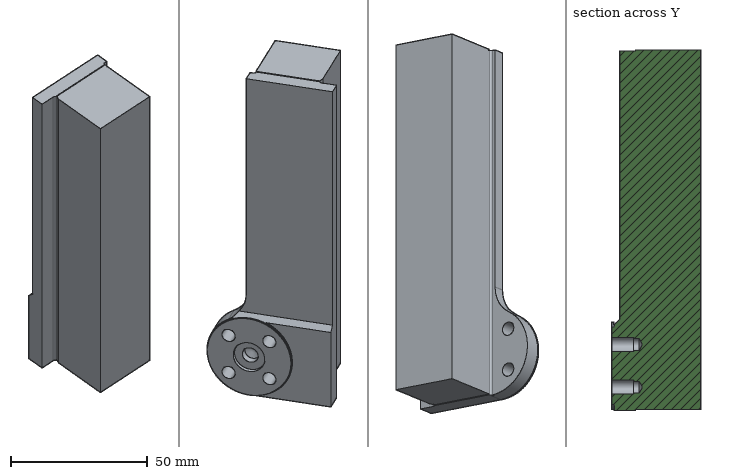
import cadquery as cq
import math


disc_diameter = 32.0
disc_height = 0.75
plate_end_radius = 16.32

round_land_height = 0.15
plate_face_x = disc_height + round_land_height
plate_back_x = 8.0
lobe_back_x = 7.75
plate_front_y = -31.0
plate_back_y = 2.0
plate_bottom_z = -plate_end_radius
plate_top_z = 115.0
neck_radius = 12.0

relief_depth = 2.0
ramp_bottom_z = 15.0

bar_side = 25.0
bar_end_x = 32.5
bar_back_y = 0.0
bar_front_y = bar_back_y - bar_side
bar_length = 131.33
bar_bottom_z = -disc_diameter / 2
bar_top_z = bar_bottom_z + bar_length

flank_radius = 1.0
lobe_flank_radius = 0.8
foot_x = plate_back_x + flank_radius
bevel_depth = 0.6
foot_front_y = bar_front_y + bevel_depth
bevel_end_x = 10.45
seam_x = 8.65
root_x = lobe_back_x - flank_radius

bolt_circle_diameter = 22.0
bolt_hole_diameter = 5.0
bolt_core_diameter = 4.2
bolt_hole_depth = 8.0
bolt_core_depth = 10.0
bolt_point_angle = 118.0
centre_recess_diameter = 12.0
centre_recess_depth = 1.6
centre_hole_diameter = 6.0
centre_hole_depth = 4.6
centre_point_angle = 140.0


def slab(start_x, end_x, bottom_z, top_z, front_y=plate_front_y):
    """Block between two X positions and two heights, from front_y to the part's +Y extreme."""
    size = (end_x - start_x, plate_end_radius - front_y, top_z - bottom_z)
    return cq.Workplane(cq.Solid.makeBox(*size, cq.Vector(start_x, front_y, bottom_z)))


def cylinder_along_x(diameter, start_x, end_x, y=0.0, z=0.0):
    """Round bar or hole along +X."""
    origin = cq.Vector(start_x, y, z)
    return cq.Workplane(cq.Solid.makeCylinder(diameter / 2, end_x - start_x, origin, cq.Vector(1, 0, 0)))


def drilled_hole(diameter, depth, point_angle, y=0.0, z=0.0):
    """Blind hole from X = 0 with a conical drill point beyond its full-diameter depth."""
    radius = diameter / 2
    point_length = radius / math.tan(math.radians(point_angle / 2))
    point = cq.Solid.makeCone(radius, 0, point_length, cq.Vector(depth, y, z), cq.Vector(1, 0, 0))
    return cylinder_along_x(diameter, 0, depth, y, z).union(cq.Workplane(point))


def make_plate():
    """Plate with a round pivot end, blended into its long edge by a concave neck."""
    neck_y = plate_back_y + neck_radius
    centre_distance = plate_end_radius + neck_radius
    neck_z = math.sqrt(centre_distance**2 - neck_y**2)
    tangent_angle = math.atan2(neck_z, neck_y)
    tangent_point = (
        plate_end_radius * math.cos(tangent_angle),
        plate_end_radius * math.sin(tangent_angle),
    )
    neck_mid_angle = math.pi + tangent_angle / 2
    neck_mid = (
        neck_y + neck_radius * math.cos(neck_mid_angle),
        neck_z + neck_radius * math.sin(neck_mid_angle),
    )
    plate = (
        cq.Workplane("YZ", origin=(plate_face_x, 0, 0))
        .moveTo(plate_front_y, plate_bottom_z)
        .lineTo(0, plate_bottom_z)
        .threePointArc((plate_end_radius, 0), tangent_point)
        .threePointArc(neck_mid, (plate_back_y, neck_z))
        .lineTo(plate_back_y, plate_top_z)
        .lineTo(plate_front_y, plate_top_z)
        .close()
        .extrude(plate_back_x - plate_face_x)
    )
    lobe_step = slab(lobe_back_x, plate_back_x, plate_bottom_z, plate_top_z, bar_back_y)
    return plate.cut(lobe_step)


def make_relief():
    """Material removed from the plate face, and from the round land, above the ramp."""
    relief_x = plate_face_x + relief_depth
    land_x = plate_face_x - round_land_height
    return (
        cq.Workplane("XZ", origin=(0, plate_end_radius, 0))
        .moveTo(land_x, ramp_bottom_z - round_land_height)
        .lineTo(relief_x, ramp_bottom_z + relief_depth)
        .lineTo(relief_x, plate_top_z)
        .lineTo(land_x, plate_top_z)
        .close()
        .extrude(plate_end_radius - plate_front_y)
    )


def make_bar():
    """Square bar with its flared foot; the foot ahead of the seam shares the plate's height."""
    arc_share = 1 - math.sqrt(0.5)
    front_offset = flank_radius * arc_share
    lobe_offset = lobe_flank_radius * arc_share
    outline = (
        cq.Workplane("XY")
        .moveTo(root_x, foot_front_y - flank_radius)
        .lineTo(plate_back_x, foot_front_y - flank_radius)
        .threePointArc((plate_back_x + front_offset, foot_front_y - front_offset), (foot_x, foot_front_y))
        .lineTo(bevel_end_x, bar_front_y)
        .lineTo(bar_end_x, bar_front_y)
        .lineTo(bar_end_x, bar_back_y)
        .lineTo(lobe_back_x + lobe_flank_radius, bar_back_y)
        .threePointArc(
            (lobe_back_x + lobe_offset, bar_back_y + lobe_offset),
            (lobe_back_x, bar_back_y + lobe_flank_radius),
        )
        .lineTo(root_x, bar_back_y + lobe_flank_radius)
        .close()
    )
    full_height = outline.extrude(bar_top_z - plate_bottom_z).translate((0, 0, plate_bottom_z))
    above_foot = slab(plate_face_x, seam_x, plate_top_z, bar_top_z)
    below_bar = slab(seam_x, bar_end_x, plate_bottom_z, bar_bottom_z)
    return full_height.cut(above_foot).cut(below_bar)


def cut_bolt_holes(body):
    """Four holes on the bolt circle: through beside the bar, blind and stepped in front of it."""
    offset = bolt_circle_diameter / 2 * math.sqrt(0.5)
    for z in (-offset, offset):
        body = body.cut(cylinder_along_x(bolt_hole_diameter, 0, plate_back_x, offset, z))
        body = body.cut(cylinder_along_x(bolt_hole_diameter, 0, bolt_hole_depth, -offset, z))
        body = body.cut(drilled_hole(bolt_core_diameter, bolt_core_depth, bolt_point_angle, -offset, z))
    return body


def cut_centre_hole(body):
    """Shallow round recess with a blind drilled hole in its floor."""
    body = body.cut(cylinder_along_x(centre_recess_diameter, 0, centre_recess_depth))
    return body.cut(drilled_hole(centre_hole_diameter, centre_hole_depth, centre_point_angle))


round_land = cylinder_along_x(2 * plate_end_radius, disc_height, plate_face_x)
disc = cylinder_along_x(disc_diameter, 0, disc_height)
plate = make_plate().union(round_land).cut(make_relief())
body = plate.union(disc).union(make_bar())
body = cut_bolt_holes(body)
result = cut_centre_hole(body)